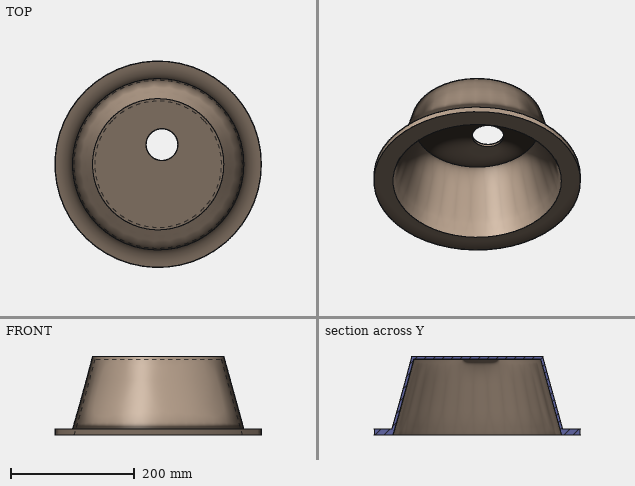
import cadquery as cq
import math

flange_diameter = 333.46
total_height = 127.17
flange_thickness = 10.0

body_base_diameter = 276.7
body_top_diameter = 212.0
wall_thickness = 5.0

hole_diameter = 51.0
hole_x = 6.2
hole_y = 31.7

body_height = total_height - flange_thickness
taper = (body_base_diameter - body_top_diameter) / 2 / body_height

radial_wall = wall_thickness * math.sqrt(1 + taper**2)
cavity_height = total_height - wall_thickness


def turn(profile):
    """Solid of revolution about Z from a closed (radius, height) profile."""
    return cq.Workplane("XZ").polyline(profile).close().revolve(360, (0, 0), (0, 1))


def cavity_radius(z):
    """Radius of the conical cavity at height z."""
    return body_base_diameter / 2 - radial_wall - taper * (z - flange_thickness)


def make_outside():
    """Round flange carrying a solid truncated cone."""
    profile = [
        (0, 0),
        (flange_diameter / 2, 0),
        (flange_diameter / 2, flange_thickness),
        (body_base_diameter / 2, flange_thickness),
        (body_top_diameter / 2, total_height),
        (0, total_height),
    ]
    return turn(profile)


def make_cavity():
    """Truncated cone removed from the underside, leaving an even wall."""
    profile = [
        (0, 0),
        (cavity_radius(0), 0),
        (cavity_radius(cavity_height), cavity_height),
        (0, cavity_height),
    ]
    return turn(profile)


def make_hole():
    """Vertical cylinder through the top wall."""
    return (
        cq.Workplane("XY")
        .center(hole_x, hole_y)
        .circle(hole_diameter / 2)
        .extrude(total_height)
    )


result = make_outside().cut(make_cavity()).cut(make_hole())